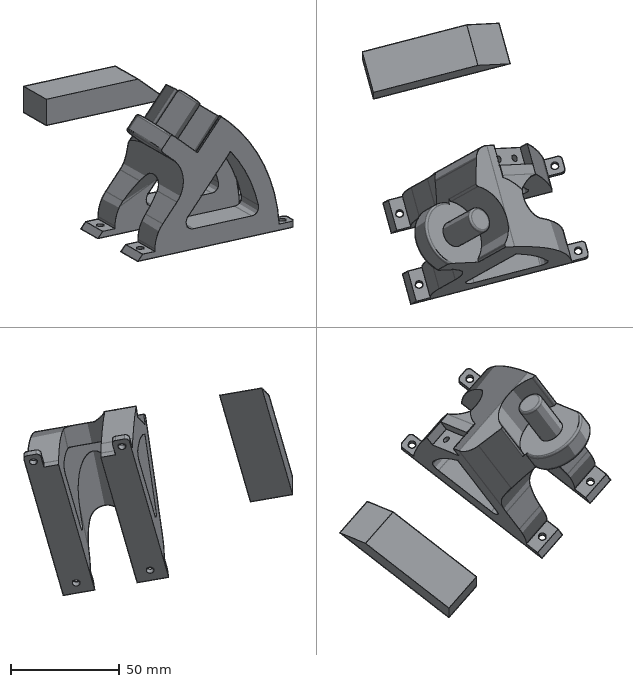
import cadquery as cq
import math

TILT = 40.0
CLEAR = 1.1
SIN_T = math.sin(math.radians(TILT))
COS_T = math.cos(math.radians(TILT))
HEAD_Y = 49.7
HEAD_Z = 59.0

WIDTH = 49.9
LENGTH = 85.4
PLATE = 3.1
TOE_BEVEL = 2.6
FRONT_Y = 9.4
REAR_Y = 77.0
KNEE_RADIUS = 18.0
NECK_RADIUS = 15.0
REAR_MID = (60.7, 47.0)

PASSAGE_WIDTH = 20.0
PASSAGE_TILT = 25.0
PASSAGE_Y = 28.2
PASSAGE_Z = 21.1
PASSAGE_REACH = 110.0

EAR_WIDTH = 8.0
EAR_ROUND = 2.0
EAR_HOLE_INSET = 4.2
FOOT_HOLE_D = 3.5

WINDOW_FLOOR = 10.1
STRUT = 10.0
WINDOW_FRONT_ROUND = 4.0
WINDOW_REAR_ROUND = 3.7
WINDOW_REAR_Y = 66.5
WINDOW_REAR_MID = (61.3, 27.5)
WINDOW_APEX_DEPTH = 10.8

SHOULDER_RADIUS = 9.2
SHOULDER_SLANT = 19.7
DISC_X = 35.9
DISC_RISE = 16.6
DISC_RADIUS = 16.0
DISC_DEPTH = 20.0
DISC_THICK = 9.2
PIN_RADIUS = 6.0
RIM_ROUND = 1.0
RECESS_RADIUS = 16.6
CORNER_RISE = 14.0
TIP_RISE = 5.7
TIP_WIDTH = 1.8
TIP_ROUND = 1.0

PAD_WIDTH = (WIDTH - PASSAGE_WIDTH) / 2
PAD_LOW = -25.2
PAD_HIGH = -4.7
PAD_SIDE_SLOPE = 3.1
PAD_FOOT = (76.7, 6.4)
PAD_BACK_MID = (73.4, 26.2)
PAD_ROOT = 8.8
POCKET_WIDTH = 10.0
POCKET_DEPTH = 5.3
SCREW_D = 3.1
SCREW_X = 5.2
SCREW_SPACING = 10.0
SCREW_DEPTH = 5.0

BLOCK_X = -60.1
BLOCK_WIDTH = 20.0
BLOCK_Y = 6.2
BLOCK_Z = 37.0
BLOCK_LENGTH = 65.5
BLOCK_HEIGHT = 13.0


def slope_point(rise, depth):
    """(Y, Z) of a point given by its slope coordinates."""
    return (HEAD_Y - rise * COS_T - depth * SIN_T, HEAD_Z + rise * SIN_T - depth * COS_T)


def side_plane(x=0.0):
    return cq.Workplane("YZ", origin=(x, 0, 0))


def head_plane(depth=0.0):
    """Local X is X, local Y is rise, and extruding goes deeper into the head."""
    y, z = slope_point(0, depth)
    return cq.Workplane(cq.Plane((0, y, z), (1, 0, 0), (0, -SIN_T, -COS_T)))


def make_trunk():
    disc_bottom = DISC_DEPTH + DISC_THICK
    knee_depth = (HEAD_Y - FRONT_Y) / SIN_T
    knee_run = KNEE_RADIUS * math.tan(math.radians(TILT / 2))
    knee_z = slope_point(0, knee_depth)[1]
    return (
        side_plane()
        .moveTo(0, 0)
        .lineTo(TOE_BEVEL, PLATE)
        .lineTo(FRONT_Y, PLATE)
        .lineTo(FRONT_Y, knee_z - knee_run)
        .tangentArcPoint(slope_point(0, knee_depth - knee_run), relative=False)
        .lineTo(*slope_point(0, disc_bottom + NECK_RADIUS))
        .tangentArcPoint(slope_point(NECK_RADIUS, disc_bottom), relative=False)
        .lineTo(*slope_point(DISC_RISE, disc_bottom))
        .lineTo(*slope_point(DISC_RISE, 0))
        .lineTo(HEAD_Y, HEAD_Z)
        .threePointArc(REAR_MID, (REAR_Y, PLATE))
        .lineTo(LENGTH, PLATE)
        .lineTo(LENGTH, 0)
        .close()
        .extrude(WIDTH)
    )


def shoulder_waste(depth):
    """Prism of what lies beyond the rounded, slanted shoulder, down to a given depth."""
    turn = math.radians(90 - SHOULDER_SLANT)
    half = turn / 2
    arc_mid = (SHOULDER_RADIUS * (1 - math.cos(half)), SHOULDER_RADIUS * math.sin(half))
    arc_end = (SHOULDER_RADIUS * (1 - math.cos(turn)), SHOULDER_RADIUS * math.sin(turn))
    corner_x = arc_end[0] + (CORNER_RISE - arc_end[1]) / math.tan(math.radians(SHOULDER_SLANT))
    right = WIDTH + CLEAR
    top = 2 * DISC_RISE
    return (
        head_plane(-CLEAR)
        .moveTo(0, 0)
        .threePointArc(arc_mid, arc_end)
        .lineTo(corner_x, CORNER_RISE)
        .lineTo(right, CORNER_RISE)
        .lineTo(right, top)
        .lineTo(-CLEAR, top)
        .lineTo(-CLEAR, 0)
        .close()
        .extrude(depth + CLEAR)
    )


def make_recess():
    """Round recess above the disc, open toward the front, with rounded tips at both ends of its wall."""
    bowl = head_plane(-CLEAR).center(DISC_X, DISC_RISE).circle(RECESS_RADIUS).extrude(DISC_DEPTH + CLEAR)
    right_tip_x = WIDTH - TIP_WIDTH
    flat_end = (
        head_plane(-CLEAR)
        .moveTo(right_tip_x, TIP_RISE)
        .rect(TIP_WIDTH + CLEAR, CORNER_RISE - TIP_RISE, centered=False)
        .extrude(DISC_DEPTH + CLEAR)
    )
    recess = shoulder_waste(DISC_DEPTH).union(bowl).union(flat_end)
    left_tip_x = DISC_X - math.sqrt(RECESS_RADIUS**2 - (DISC_RISE - CORNER_RISE) ** 2)
    for x, rise in [(left_tip_x, CORNER_RISE), (right_tip_x, TIP_RISE)]:
        edge_middle = (x, *slope_point(rise, DISC_DEPTH / 2))
        recess = recess.edges(cq.selectors.NearestToPointSelector(edge_middle)).fillet(TIP_ROUND)
    return recess


def shape_head(trunk):
    full_depth = DISC_DEPTH + DISC_THICK + NECK_RADIUS + CLEAR
    return trunk.cut(shoulder_waste(full_depth)).cut(make_recess())


def make_turntable():
    """Disc with its pin, cut off flush with the side of the stand."""
    disc = (
        head_plane(DISC_DEPTH)
        .center(DISC_X, DISC_RISE)
        .circle(DISC_RADIUS)
        .extrude(DISC_THICK)
        .edges()
        .fillet(RIM_ROUND)
    )
    pin = (
        head_plane()
        .center(DISC_X, DISC_RISE)
        .circle(PIN_RADIUS)
        .extrude(DISC_DEPTH + DISC_THICK / 2)
        .edges(cq.selectors.NearestToPointSelector((DISC_X, *slope_point(DISC_RISE + PIN_RADIUS, 0))))
        .fillet(RIM_ROUND)
    )
    keep = cq.Workplane().box(WIDTH, LENGTH, LENGTH, centered=False)
    return disc.union(pin).intersect(keep)


def make_pad():
    """Raised pad that flattens the rear curve, with one side sloping away."""
    reach = PAD_WIDTH + PASSAGE_WIDTH
    body = (
        side_plane()
        .moveTo(*PAD_FOOT)
        .threePointArc(PAD_BACK_MID, slope_point(PAD_LOW, 0))
        .lineTo(*slope_point(PAD_HIGH, 0))
        .lineTo(*slope_point(PAD_HIGH, PAD_ROOT))
        .close()
        .extrude(reach)
    )
    side_drop = PASSAGE_WIDTH / PAD_SIDE_SLOPE
    side_waste = (
        cq.Workplane(cq.Plane((0, *slope_point(0, 0)), (1, 0, 0), (0, COS_T, -SIN_T)))
        .polyline([(PAD_WIDTH, 0), (reach, side_drop), (reach, -CLEAR), (PAD_WIDTH, -CLEAR)])
        .close()
        .extrude(LENGTH)
    )
    return body.cut(side_waste)


def make_pocket():
    length = PAD_HIGH - PAD_LOW
    pocket = (
        head_plane()
        .moveTo(0, PAD_LOW)
        .rect(POCKET_WIDTH, length, centered=False)
        .extrude(POCKET_DEPTH)
    )
    middle = (PAD_LOW + PAD_HIGH) / 2
    screws = (
        head_plane()
        .center(SCREW_X, middle)
        .rarray(1.1, SCREW_SPACING, 1, 2)
        .circle(SCREW_D / 2)
        .extrude(POCKET_DEPTH + SCREW_DEPTH)
    )
    return pocket.union(screws)


def make_window():
    """Rounded triangle through both legs: flat floor, straight front strut and curved rear wall."""
    apex = slope_point(-STRUT, WINDOW_APEX_DEPTH)
    front_corner = slope_point(-STRUT, (HEAD_Z - STRUT * SIN_T - WINDOW_FLOOR) / COS_T)
    rear_corner = (WINDOW_REAR_Y, WINDOW_FLOOR)
    middle = WIDTH / 2
    return (
        side_plane()
        .moveTo(*apex)
        .lineTo(*front_corner)
        .lineTo(*rear_corner)
        .threePointArc(WINDOW_REAR_MID, apex)
        .close()
        .extrude(WIDTH)
        .edges(cq.selectors.NearestToPointSelector((middle, *front_corner)))
        .fillet(WINDOW_FRONT_ROUND)
        .edges(cq.selectors.NearestToPointSelector((middle, *rear_corner)))
        .fillet(WINDOW_REAR_ROUND)
    )


def make_passage():
    """Round-topped passage between the legs, rising toward the rear and open to the ground."""
    lean = math.radians(PASSAGE_TILT)
    plane = cq.Plane((WIDTH / 2, PASSAGE_Y, PASSAGE_Z), (1, 0, 0), (0, -math.cos(lean), -math.sin(lean)))
    half = PASSAGE_WIDTH / 2
    return (
        cq.Workplane(plane)
        .moveTo(-half, 0)
        .threePointArc((0, half), (half, 0))
        .lineTo(half, -PASSAGE_REACH)
        .lineTo(-half, -PASSAGE_REACH)
        .close()
        .extrude(PASSAGE_REACH, both=True)
    )


def trim_ears(stand):
    """Narrow the rear foot plate to two rounded ears."""
    gap = (
        cq.Workplane()
        .moveTo(EAR_WIDTH, REAR_Y)
        .rect(WIDTH - 2 * EAR_WIDTH, LENGTH, centered=False)
        .extrude(PLATE)
    )
    return stand.cut(gap).edges("|Z and >Y").fillet(EAR_ROUND)


def make_foot_holes():
    front_x = PAD_WIDTH / 2
    front_y = (TOE_BEVEL + FRONT_Y) / 2
    rear_x = EAR_WIDTH / 2
    rear_y = LENGTH - EAR_HOLE_INSET
    spots = [(front_x, front_y), (WIDTH - front_x, front_y), (rear_x, rear_y), (WIDTH - rear_x, rear_y)]
    return cq.Workplane().pushPoints(spots).circle(FOOT_HOLE_D / 2).extrude(PLATE)


def make_stand():
    stand = shape_head(make_trunk()).union(make_pad()).union(make_turntable())
    stand = stand.cut(make_pocket()).cut(make_window()).cut(make_passage())
    return trim_ears(stand).cut(make_foot_holes())


def make_block():
    """Bar with its rear end cut at the tilt of the head."""
    slant = BLOCK_HEIGHT / math.tan(math.radians(TILT))
    rear = BLOCK_Y + BLOCK_LENGTH
    top = BLOCK_Z + BLOCK_HEIGHT
    return (
        side_plane(BLOCK_X)
        .polyline([(BLOCK_Y, BLOCK_Z), (rear, BLOCK_Z), (rear - slant, top), (BLOCK_Y, top)])
        .close()
        .extrude(BLOCK_WIDTH)
    )


stand = make_stand()
block = make_block()
result = cq.Compound.makeCompound([*stand.vals(), block.val()])